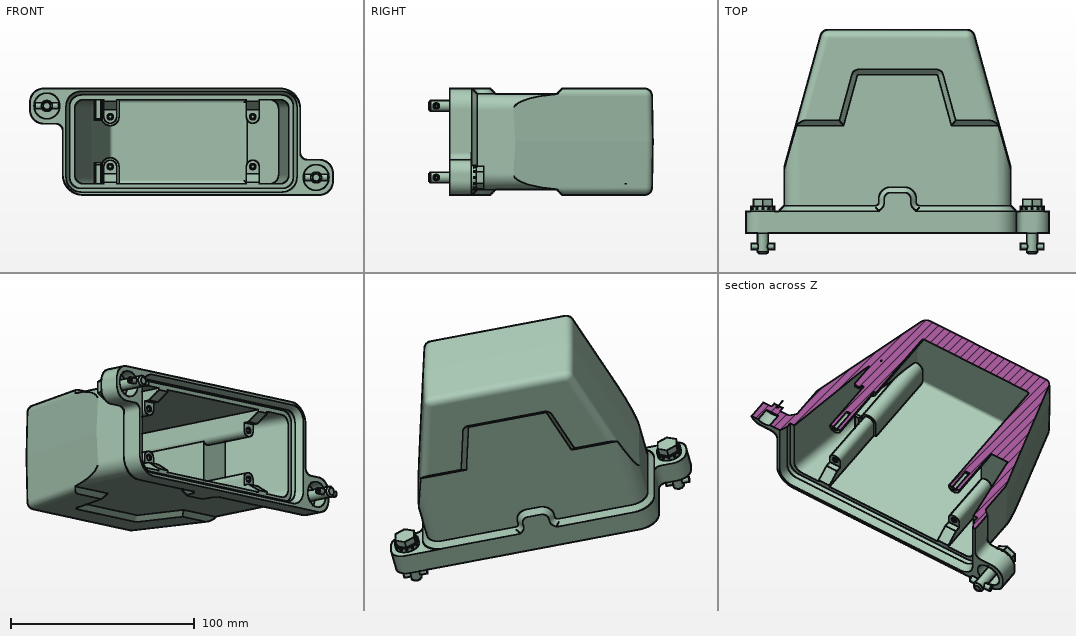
import cadquery as cq
import math


body_half_width = 61.7
body_half_height = 26.0
body_corner_radius = 8.7
hood_depth = 110.7
taper_start = 35.8
taper_angle = 15.4
draft_angle = 1.0
bevel_angle = 45

band_half_height = 29.0
band_front = 58.4
band_edge_radius = 4.3
notch_back = 86.1
notch_half_width_back = 21.8
notch_half_width_front = 29.4
notch_corner_radius = 0.8

flange_half_width = 64.7
flange_half_height = band_half_height
flange_corner_radius = 11.0
flange_depth = 12.0
flare = 3.0

pad_half_width = 10.2
pad_front = 5.5
pad_back = 25.0
pad_foot_half_width = 13.0
pad_foot_radius = 1.6
pad_corner_radius = 6.6

ear_reach = 82.5
ear_inner_height = 9.7
ear_depth = 11.9
ear_corner_radius = 7.6
ear_root_radius = 3.8

screw_x = 73.3
screw_z = 19.5
screw_bore_diameter = 14.0
screw_bore_depth = 8.2
shaft_diameter = 6.0
shaft_front = -11.2
shaft_tip_chamfer = 1.0
pin_diameter = 3.3
pin_length = 12.9
pin_y = -7.3
pin_bore_diameter = 1.5
washer_diameter = 13.2
washer_thickness = 1.2
lock_washer_thickness = 1.5
lock_washer_teeth = 12
tooth_gap_width = 0.8
tooth_gap_depth = 1.0
head_across_flats = 10.4
head_height = 4.0

recess_half_width = 62.9
recess_half_height = 27.4
recess_corner_radius = 8.2
recess_stages = [(2.0, 26), (2.5, 22), (2.8, 0)]

cavity_half_width = 59.4
cavity_half_height = 23.0
cavity_corner_radius = 5.0
shelf_y = 49.5
shelf_outer_x = 52.8
pocket_wall_x = 35.8
cavity_end = 97.4
left_bend_x = 49.0
left_bend_y = 59.9
pocket_seam_y = 82.5
pocket_edge_radius = 2.0

boss_x = 38.8
boss_z = 13.5
boss_radius = 3.5
boss_front = 18.2
boss_flare = 1.3
boss_step_z = 17.3
boss_ledge_front = 14.8
boss_ramp_end_z = 22.0
boss_hole_diameter = 2.1
boss_hole_rim_diameter = 3.3
boss_hole_depth = 13.2
block_outer_x = 47.5
block_inner_x = 43.0
block_inner_z = 11.5
block_chamfer = 1.0
collar_front = 51.2
wall_overlap = 0.8

band_step = band_half_height - body_half_height
taper_slope = math.tan(math.radians(taper_angle))
pocket_seam_x = left_bend_x - (pocket_seam_y - left_bend_y) * taper_slope
recess_depth = sum(depth for depth, _ in recess_stages)

select_margin = 1.6


def facing_back(y):
    """Work plane across the hood at the given depth, extruding towards +Y."""
    return cq.Workplane(cq.Plane(origin=(0, y, 0), xDir=(1, 0, 0), normal=(0, 1, 0)))


def rounded_block(half_width, half_height, radius, y, depth, taper=0):
    outline = cq.Sketch().rect(2 * half_width, 2 * half_height).vertices().fillet(radius)
    return facing_back(y).placeSketch(outline).extrude(depth, taper=taper)


def cylinder(x, y, z, diameter, depth):
    """Round bar along Y that starts at depth y."""
    return facing_back(y).center(x, -z).circle(diameter / 2).extrude(depth)


def half_width_at(y):
    return body_half_width - (y - taper_start) * taper_slope


def half_turn_pair(feature):
    """The feature and its copy half a turn around the Y axis."""
    return feature.union(feature.rotate((0, 0, 0), (0, 1, 0), 180))


def both_faces(feature):
    """The feature and its mirror image on the other side of Z = 0."""
    return feature.union(feature.mirror("XY"))


def make_envelope():
    """Tapered hood shape with its edges rounded, before the lower front part is stepped in."""
    front_half_width = half_width_at(0)
    end_half_width = half_width_at(hood_depth)
    outline = [
        (-front_half_width, 0),
        (front_half_width, 0),
        (end_half_width, hood_depth),
        (-end_half_width, hood_depth),
    ]
    upper = cq.Workplane("XY").polyline(outline).close().extrude(band_half_height, taper=draft_angle)
    reach = 2 * hood_depth
    upper_rear = cq.selectors.BoxSelector((-reach, select_margin, select_margin), (reach, reach, reach))
    upper = upper.edges(upper_rear).fillet(band_edge_radius)
    return both_faces(upper)


def make_notch():
    """Step with 45 degree walls that lowers the front of the +Z face."""
    reach = 2 * body_half_width
    outline = [
        (-reach, -reach),
        (reach, -reach),
        (reach, band_front),
        (notch_half_width_front, band_front),
        (notch_half_width_back, notch_back),
        (-notch_half_width_back, notch_back),
        (-notch_half_width_front, band_front),
        (-reach, band_front),
        (-reach, -reach),
    ]
    notch_corners = cq.selectors.BoxSelector(
        (-reach / 2, 0, -select_margin), (reach / 2, reach, select_margin)
    )
    sketch = cq.Sketch().polygon(outline).vertices(notch_corners).fillet(notch_corner_radius)
    base = cq.Workplane("XY", origin=(0, 0, body_half_height))
    return base.placeSketch(sketch).extrude(band_step, taper=-bevel_angle)


def make_body(envelope):
    """Rounded core plus the raised band behind the notched front."""
    core = rounded_block(body_half_width, body_half_height, body_corner_radius, 0, hood_depth)
    front = cq.Workplane("XY").box(4 * body_half_width, 2 * band_front, 2 * body_half_height)
    band = envelope.cut(front).cut(both_faces(make_notch()))
    return core.intersect(envelope).union(band)


def make_ears():
    """Two ears, a half turn apart, that carry the locking screws."""
    height = flange_half_height - ear_inner_height
    ear = (
        cq.Workplane("XZ")
        .center(-ear_reach / 2, ear_inner_height + height / 2)
        .rect(ear_reach, height)
        .extrude(-ear_depth)
        .edges("|Y and <X")
        .fillet(ear_corner_radius)
    )
    root = (
        cq.Workplane("XZ")
        .moveTo(-flange_half_width, ear_inner_height)
        .lineTo(-flange_half_width - ear_root_radius, ear_inner_height)
        .radiusArc((-flange_half_width, ear_inner_height - ear_root_radius), ear_root_radius)
        .close()
        .extrude(-ear_depth)
    )
    return half_turn_pair(ear.union(root))


def make_pad():
    """Arched pad on the +Z side of the flange."""
    front = pad_front - band_step
    foot_back = flange_depth + flare
    outline = [
        (pad_foot_half_width, front),
        (pad_foot_half_width, foot_back),
        (pad_half_width, foot_back),
        (pad_half_width, pad_back),
        (-pad_half_width, pad_back),
        (-pad_half_width, foot_back),
        (-pad_foot_half_width, foot_back),
        (-pad_foot_half_width, front),
        (pad_foot_half_width, front),
    ]
    middle_x = (pad_half_width + pad_foot_half_width) / 2
    middle_y = (foot_back + pad_back) / 2
    foot_corners = cq.selectors.BoxSelector(
        (-middle_x, front, -select_margin), (middle_x, middle_y, select_margin)
    )
    sketch = cq.Sketch().polygon(outline).vertices(foot_corners).fillet(pad_foot_radius)
    sketch = sketch.reset().vertices(">Y").fillet(pad_corner_radius)
    base = cq.Workplane("XY", origin=(0, 0, body_half_height))
    return base.placeSketch(sketch).extrude(band_step, taper=bevel_angle)


def make_flange():
    flange = rounded_block(flange_half_width, flange_half_height, flange_corner_radius, 0, flange_depth)
    flare_block = rounded_block(
        body_half_width + flare,
        body_half_height + flare,
        body_corner_radius + flare,
        flange_depth,
        flare,
        taper=bevel_angle,
    )
    return flange.union(flare_block).union(make_ears()).union(both_faces(make_pad()))


def cavity_prism(outline):
    base = cq.Workplane("XY", origin=(0, 0, -cavity_half_height))
    return base.polyline(outline).close().extrude(2 * cavity_half_height)


def left_wall_point(y):
    """Point of the left wall behind its bend, where it runs parallel to the outside."""
    return (-left_bend_x + (y - left_bend_y) * taper_slope, y)


def make_cavity():
    """Mouth-wide chamber down to the shelf, and a deeper pocket that follows the left slope."""
    chamber = cavity_prism(
        [
            (-cavity_half_width, 0),
            (cavity_half_width, 0),
            (shelf_outer_x, shelf_y),
            (-pocket_seam_x, shelf_y),
            left_wall_point(pocket_seam_y),
            (-left_bend_x, left_bend_y),
        ]
    )
    span = 2 * hood_depth
    for x_start, x_end in ((-span, -pocket_seam_x - select_margin), (shelf_outer_x, span)):
        side = cq.selectors.BoxSelector((x_start, select_margin, -span), (x_end, span, span))
        chamber = chamber.edges(side).edges("not |Z").fillet(cavity_corner_radius)
    pocket = cavity_prism(
        [
            (-pocket_seam_x, shelf_y),
            (pocket_wall_x, shelf_y),
            (pocket_wall_x, cavity_end),
            left_wall_point(cavity_end),
            left_wall_point(pocket_seam_y),
        ]
    )
    pocket = pocket.faces(">Y").edges().fillet(pocket_edge_radius)
    return chamber.union(pocket)


def make_recess():
    """Recess around the mouth for the seal, with walls that steepen stage by stage."""
    recess = None
    y = 0
    inset = 0
    for depth, angle in recess_stages:
        stage = rounded_block(
            recess_half_width - inset,
            recess_half_height - inset,
            recess_corner_radius - inset,
            y,
            depth,
            angle,
        )
        recess = recess.union(stage) if recess else stage
        y += depth
        inset += depth * math.tan(math.radians(angle))
    return recess


def make_boss():
    """Boss for a contact insert screw at +X, +Z, with its ramp to the cavity wall."""
    wall_z = cavity_half_height + wall_overlap
    web = (
        cq.Workplane("XY")
        .box(2 * boss_radius, cavity_end - boss_front, wall_z - boss_z, centered=(True, False, False))
        .translate((boss_x, boss_front, boss_z))
    )
    post = cylinder(boss_x, boss_front, boss_z, 2 * boss_radius, cavity_end - boss_front).union(web)
    ramp = (
        cq.Workplane("YZ", origin=(boss_x - boss_radius, 0, 0))
        .polyline(
            [
                (boss_front, boss_step_z),
                (boss_ledge_front, boss_step_z),
                (recess_depth, boss_ramp_end_z),
                (recess_depth, wall_z),
                (boss_front, wall_z),
            ]
        )
        .close()
        .extrude(2 * boss_radius)
    )
    hole = cylinder(boss_x, boss_front, boss_z, boss_hole_diameter, boss_hole_depth)
    rim = facing_back(boss_front).center(boss_x, -boss_z).circle(boss_hole_rim_diameter / 2)
    rim = rim.extrude((boss_hole_rim_diameter - boss_hole_diameter) / 2, taper=bevel_angle)
    return post.union(ramp).cut(hole).cut(rim)


def make_block():
    """Block beside a left boss at +Z, level with the shelf, and the collar around that boss."""
    wall_z = cavity_half_height + wall_overlap
    width = block_outer_x - block_inner_x
    block = (
        cq.Workplane("XY")
        .box(width, cavity_end - shelf_y, wall_z - block_inner_z, centered=(False, False, False))
        .faces("<Y")
        .edges("<X or >X or <Z")
        .chamfer(block_chamfer)
        .translate((-block_outer_x, shelf_y, block_inner_z))
    )
    flare_radius = boss_radius + boss_flare
    collar = cylinder(-boss_x, collar_front, boss_z, 2 * flare_radius, cavity_end - collar_front)
    strip = (
        cq.Workplane("XY")
        .box(2 * flare_radius, cavity_end - collar_front, wall_z - boss_z, centered=(True, False, False))
        .translate((-boss_x, collar_front, boss_z))
    )
    return block.union(collar).union(strip)


def make_screw():
    """Locking screw at the +X, -Z ear, with its washers and cross pin."""
    lock_washer_y = ear_depth + washer_thickness
    head_y = lock_washer_y + lock_washer_thickness
    x, z = screw_x, -screw_z
    shaft = cylinder(x, shaft_front, z, shaft_diameter, head_y - shaft_front)
    shaft = shaft.faces("<Y").chamfer(shaft_tip_chamfer)
    pin_end = cq.Workplane("YZ", origin=(x - pin_length / 2, pin_y, z))
    pin = pin_end.circle(pin_diameter / 2).extrude(pin_length)
    pin_bore = pin_end.circle(pin_bore_diameter / 2).extrude(pin_length)
    washer = cylinder(x, ear_depth, z, washer_diameter, washer_thickness)
    lock_washer = cylinder(x, lock_washer_y, z, washer_diameter, lock_washer_thickness)
    gaps = (
        facing_back(lock_washer_y)
        .center(x, -z)
        .polarArray(washer_diameter / 2, 0, 360, lock_washer_teeth)
        .rect(2 * tooth_gap_depth, tooth_gap_width)
        .extrude(lock_washer_thickness)
    )
    head = (
        facing_back(head_y)
        .center(x, -z)
        .polygon(6, head_across_flats, circumscribed=True)
        .extrude(head_height)
    )
    return shaft.union(pin).cut(pin_bore).union(washer).union(lock_washer.cut(gaps)).union(head)


envelope = make_envelope()
hood = make_body(envelope).union(make_flange()).cut(make_cavity()).cut(make_recess())
right_boss = make_boss()
for fitting in (right_boss, right_boss.mirror("YZ"), make_block()):
    hood = hood.union(both_faces(fitting.intersect(envelope)))
screw_bore = cylinder(screw_x, 0, -screw_z, screw_bore_diameter, screw_bore_depth)
result = hood.cut(half_turn_pair(screw_bore)).union(half_turn_pair(make_screw()))